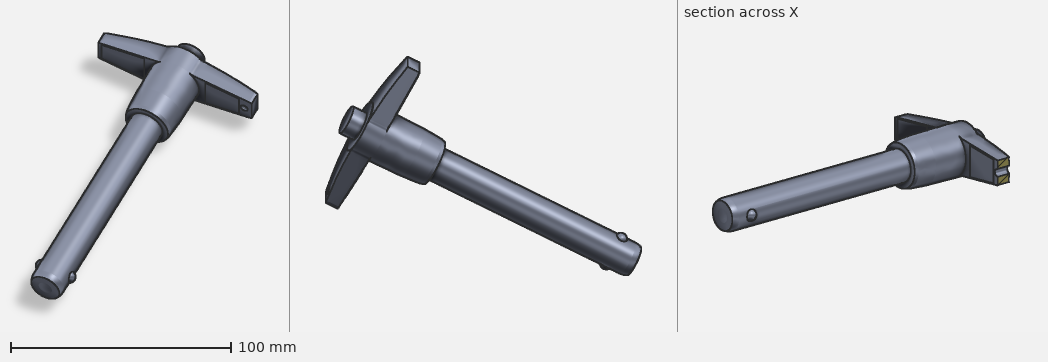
import cadquery as cq
import math

overall_length = 149.0
button_end = overall_length / 2
pin_end = -overall_length / 2
handle_back = 67.6
handle_front = 57.8
collar_waist = 40.7
collar_rim = 31.1
collar_end = 29.2
ball_station = -63.6

button_diameter = 13.7
shaft_diameter = 16.0
hub_diameter = 24.6
waist_diameter = 24.0
rim_diameter = 22.6
collar_bulge = 0.07
collar_end_diameter = 21.6
spindle_diameter = 6.7
spindle_dome_height = 0.3
nose_length = 3.3
nose_diameter = 14.3
nose_bulge = 0.22

ball_diameter = 5.8
ball_span = 19.7

handle_span = 78.0
arm_tip_back = 64.0
arm_tip_half_height = 5.7
arm_taper_angle = 6.5
arm_tip_bevel_length = 1.3
arm_tip_bevel_height = 0.3
hub_blend_radius = 3.3

pad_height = 0.3
pad_margin = 0.6
pad_start = 15.5
pad_end_plain = 37.1
pad_end_at_hole = 32.6

lanyard_diameter = 3.6
lanyard_offset = 35.2

half_span = handle_span / 2


def arm_half_height(x):
    """Half height of the tapering arm at a distance x from the pin axis."""
    return arm_tip_half_height + (half_span - x) * math.tan(math.radians(arm_taper_angle))


def extrude_along_y(sketch_2d, start, end):
    """Extrude a profile drawn by sketch_2d on an XZ plane from Y = start to Y = end."""
    plane = cq.Workplane("XZ", origin=(0, end, 0))
    return sketch_2d(plane).extrude(end - start)


def make_handle():
    """Tapered arms with bevelled tips, blended into a round hub, with a crowned back."""

    def diamond(plane):
        root = arm_half_height(0)
        bevel_x = half_span - arm_tip_bevel_length
        bevel_half = arm_half_height(bevel_x)
        tip_half = arm_tip_half_height - arm_tip_bevel_height
        return plane.polyline([
            (-half_span, -tip_half),
            (-bevel_x, -bevel_half),
            (0, -root),
            (bevel_x, -bevel_half),
            (half_span, -tip_half),
            (half_span, tip_half),
            (bevel_x, bevel_half),
            (0, root),
            (-bevel_x, bevel_half),
            (-half_span, tip_half),
        ]).close()

    arms = extrude_along_y(diamond, handle_front, handle_back)
    hub = extrude_along_y(lambda plane: plane.circle(hub_diameter / 2), handle_front, handle_back)
    handle = arms.union(hub)
    junction = cq.selectors.BoxSelector(
        (-pad_start, handle_front, -hub_diameter),
        (pad_start, handle_back, hub_diameter),
    )
    handle = handle.edges("|Y").edges(junction).fillet(hub_blend_radius)

    crown = (
        cq.Workplane("XY")
        .moveTo(-half_span, handle_front)
        .lineTo(-half_span, arm_tip_back)
        .threePointArc((0, handle_back), (half_span, arm_tip_back))
        .lineTo(half_span, handle_front)
        .close()
        .extrude(hub_diameter, both=True)
    )
    return handle.intersect(crown).union(hub)


def make_pad(side, end):
    """Raised pad on one arm; side is +1 or -1, end is its distance from the axis."""
    start_half = arm_half_height(pad_start) - pad_margin
    end_half = arm_half_height(end) - pad_margin

    def trapezoid(plane):
        return plane.polyline([
            (side * pad_start, -start_half),
            (side * end, -end_half),
            (side * end, end_half),
            (side * pad_start, start_half),
        ]).close()

    return extrude_along_y(trapezoid, handle_front - pad_height, handle_front)


def make_pin():
    """Button, hub core, tapered collar, shaft and spindle tip as one turned profile."""
    shaft_end = pin_end + spindle_dome_height
    nose_start = shaft_end + nose_length
    dome_radius = (spindle_diameter**2 / 4 + spindle_dome_height**2) / (2 * spindle_dome_height)
    dome_half_angle = math.asin(spindle_diameter / 2 / dome_radius) / 2
    dome_middle = (
        dome_radius * math.sin(dome_half_angle),
        pin_end + dome_radius * (1 - math.cos(dome_half_angle)),
    )
    nose_middle = (
        (shaft_diameter + nose_diameter) / 4 + nose_bulge,
        (nose_start + shaft_end) / 2,
    )
    collar_middle = (
        (waist_diameter + rim_diameter) / 4 + collar_bulge,
        (collar_waist + collar_rim) / 2,
    )
    return (
        cq.Workplane("XY")
        .moveTo(0, button_end)
        .lineTo(button_diameter / 2, button_end)
        .lineTo(button_diameter / 2, handle_back)
        .lineTo(hub_diameter / 2, handle_back)
        .lineTo(hub_diameter / 2, handle_front)
        .lineTo(waist_diameter / 2, collar_waist)
        .threePointArc(collar_middle, (rim_diameter / 2, collar_rim))
        .lineTo(collar_end_diameter / 2, collar_end)
        .lineTo(shaft_diameter / 2, collar_end)
        .lineTo(shaft_diameter / 2, nose_start)
        .threePointArc(nose_middle, (nose_diameter / 2, shaft_end))
        .lineTo(spindle_diameter / 2, shaft_end)
        .threePointArc(dome_middle, (0, pin_end))
        .close()
        .revolve(360, (0, 0, 0), (0, 1, 0))
    )


result = make_pin().union(make_handle())
result = result.union(make_pad(-1, pad_end_plain)).union(make_pad(1, pad_end_at_hole))

ball_offset = (ball_span - ball_diameter) / 2
for side in (-1, 1):
    ball = cq.Workplane("XY").sphere(ball_diameter / 2)
    result = result.union(ball.translate((side * ball_offset, ball_station, 0)))

lanyard_hole = extrude_along_y(
    lambda plane: plane.center(lanyard_offset, 0).circle(lanyard_diameter / 2),
    handle_front, handle_back,
)
result = result.cut(lanyard_hole)